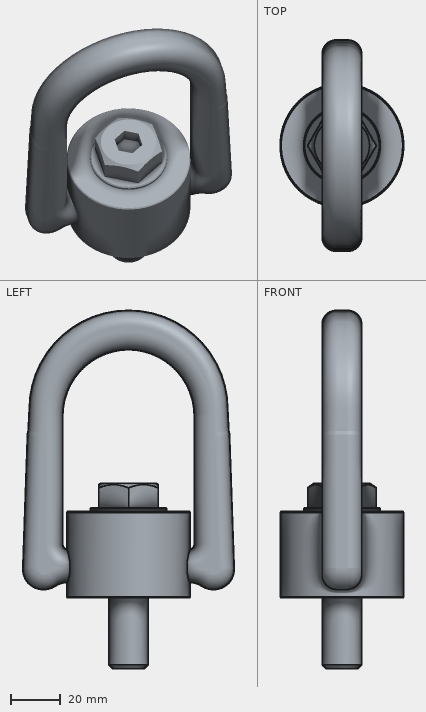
import cadquery as cq
import math


body_diameter = 50.0
body_height = 34.9
body_chamfer = 0.5
flange_diameter = 31.0
flange_height = 1.5
flange_chamfer = 0.5
head_across_flats = 24.0
head_height = 10.0
head_top_diameter = 22.3
head_chamfer_angle = 35.0
socket_across_flats = 10.0
socket_depth = 5.8
shank_diameter = 16.1
shank_length = 28.7
shank_chamfer = 1.7

overall_width = 85.5
overall_height = 144.9
ring_thickness = 16.1
bow_outer_radius = 40.1
bow_inner_radius = 26.5
bow_crown_depth = 16.0
pad_top = 67.5
pad_half_width = 40.9
pad_step_height = 1.5
pad_step_depth = 0.3
foot_radius = 8.4
foot_bottom = 3.3
pin_bottom = 6.1
pin_top = 19.5
pin_end = 11.6
pin_upper_blend = 2.0
pin_lower_blend = 7.2
outer_round = 6.0
inner_round = 6.8


def hexagon(across_flats, height, base):
    """Hexagonal prism with two opposite corners on the X axis."""
    across_corners = across_flats / math.cos(math.pi / 6)
    return cq.Workplane("XY").workplane(offset=base).polygon(6, across_corners).extrude(height)


def disc(diameter, height, base):
    return cq.Workplane("XY").workplane(offset=base).circle(diameter / 2).extrude(height)


def make_head(base):
    """Hex head whose top corners are cut by a cone, with a hex socket in the top."""
    top = base + head_height
    top_radius = head_top_diameter / 2
    cone_base_radius = top_radius + head_height / math.tan(math.radians(head_chamfer_angle))
    cone = (
        cq.Workplane("XZ")
        .polyline([(0, base), (cone_base_radius, base), (top_radius, top), (0, top)])
        .close()
        .revolve(360, (0, 0, 0), (0, 1, 0))
    )
    head = hexagon(head_across_flats, head_height, base).intersect(cone)
    return head.cut(hexagon(socket_across_flats, socket_depth, top - socket_depth))


def make_swivel():
    """Body, flange, bolt head and shank stacked on the Z axis."""
    body = disc(body_diameter, body_height, 0).edges().chamfer(body_chamfer)
    flange = disc(flange_diameter, flange_height, body_height).faces(">Z").edges().chamfer(flange_chamfer)
    shank = disc(shank_diameter, shank_length, -shank_length).faces("<Z").edges().chamfer(shank_chamfer)
    return body.union(flange).union(shank).union(make_head(body_height + flange_height))


def polar(center, radius, angle):
    return (center[0] + radius * math.cos(angle), center[1] + radius * math.sin(angle))


def make_ring():
    """Load ring cut from a slab along X, with its outer and inner rims rounded."""
    crown_top = overall_height - shank_length
    outer_spring = crown_top - bow_outer_radius
    inner_spring = crown_top - bow_crown_depth - bow_inner_radius

    pad_corner = (pad_half_width, pad_top - pad_step_height)
    foot = (overall_width / 2 - foot_radius, foot_bottom + foot_radius)

    rise = pad_corner[1] - foot[1]
    run = pad_corner[0] - foot[0]
    tangent_angle = math.atan2(rise, run) - math.acos(foot_radius / math.hypot(rise, run))
    foot_start = polar(foot, foot_radius, tangent_angle)
    foot_low = (foot[0], foot_bottom)

    hollow_z = pin_bottom - pin_lower_blend
    center_distance = foot_radius + pin_lower_blend
    hollow_y = foot[0] - math.sqrt(center_distance**2 - (foot[1] - hollow_z) ** 2)
    hollow = (hollow_y, hollow_z)
    hollow_angle = math.atan2(foot[1] - hollow_z, foot[0] - hollow_y)
    foot_end = polar(hollow, pin_lower_blend, hollow_angle)
    hollow_middle = polar(hollow, pin_lower_blend, (hollow_angle + math.pi / 2) / 2)
    hollow_end = (hollow_y, pin_bottom)

    corner = (bow_inner_radius - pin_upper_blend, pin_top + pin_upper_blend)
    corner_middle = polar(corner, pin_upper_blend, -math.pi / 4)

    def mirrored(point):
        return (-point[0], point[1])

    profile = (
        cq.Workplane("YZ")
        .moveTo(-bow_outer_radius, outer_spring)
        .threePointArc((0, crown_top), (bow_outer_radius, outer_spring))
        .lineTo(pad_half_width - pad_step_depth, pad_top)
        .lineTo(*pad_corner)
        .lineTo(*foot_start)
        .threePointArc(foot_low, foot_end)
        .threePointArc(hollow_middle, hollow_end)
        .lineTo(pin_end, pin_bottom)
        .lineTo(pin_end, pin_top)
        .lineTo(corner[0], pin_top)
        .threePointArc(corner_middle, (bow_inner_radius, corner[1]))
        .lineTo(bow_inner_radius, inner_spring)
        .threePointArc((0, inner_spring + bow_inner_radius), (-bow_inner_radius, inner_spring))
        .lineTo(-bow_inner_radius, corner[1])
        .threePointArc(mirrored(corner_middle), (-corner[0], pin_top))
        .lineTo(-pin_end, pin_top)
        .lineTo(-pin_end, pin_bottom)
        .lineTo(*mirrored(hollow_end))
        .threePointArc(mirrored(hollow_middle), mirrored(foot_end))
        .threePointArc(mirrored(foot_low), mirrored(foot_start))
        .lineTo(*mirrored(pad_corner))
        .lineTo(pad_step_depth - pad_half_width, pad_top)
        .close()
    )
    slab = profile.extrude(ring_thickness / 2, both=True)

    margin = 0.1
    opening = cq.selectors.BoxSelector(
        (-ring_thickness, -bow_inner_radius - margin, pin_top - margin),
        (ring_thickness, bow_inner_radius + margin, inner_spring + bow_inner_radius + margin),
        boundingbox=True,
    )
    ring = slab.faces("<X or >X").edges(-opening).edges("not |Z").fillet(outer_round)
    return ring.faces("<X or >X").edges(opening).fillet(inner_round)


result = make_swivel().union(make_ring())